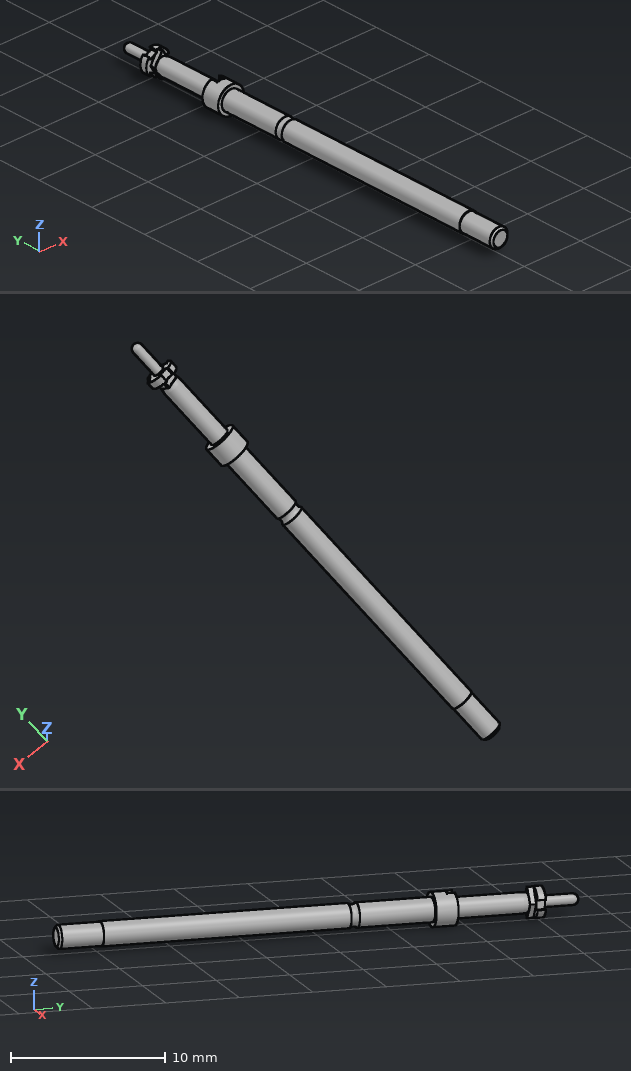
import cadquery as cq
import math

LENGTH = 35.5
FLANGE_START = 2.5
FLANGE_LENGTH = 0.57
DIAMOND_LENGTH = 0.43
SHOULDER_LENGTH = 0.4
COLLAR_START = 8.5
COLLAR_LENGTH = 1.5
GROOVE_START = 15.1
GROOVE_LENGTH = 0.57
GROOVE_DEPTH = 0.1
TAIL_LENGTH = 3.0
TAIL_CHAMFER = 0.18

PIN_DIA = 0.78
FLANGE_DIA = 2.1
SHOULDER_DIA = 1.28
TUBE_DIA = 1.42
COLLAR_DIA = 2.3
BODY_DIA = 1.67
TAIL_DIA = 1.6

NOTCH_COUNT = 3
NOTCH_FLOOR_RADIUS = 0.75
SLOT_WIDTH = 0.67
KEYWAY_LENGTH = 0.55

DIAMOND_WIDTH = 1.3
DIAMOND_TIP_ANGLE = 60.0

diamond_start = FLANGE_START + FLANGE_LENGTH
shoulder_start = diamond_start + DIAMOND_LENGTH
tube_start = shoulder_start + SHOULDER_LENGTH
collar_end = COLLAR_START + COLLAR_LENGTH
groove_end = GROOVE_START + GROOVE_LENGTH
tail_start = LENGTH - TAIL_LENGTH


def cross_plane(station):
    """Work plane across the probe, with its normal pointing towards the tail."""
    return cq.Workplane("XZ", origin=(0, LENGTH / 2 - station, 0))


def rod(start, end, diameter):
    return cross_plane(start).circle(diameter / 2).extrude(end - start)


def revolve_about_probe(profile):
    """Turn a profile of radius along X and position along Y about the probe axis."""
    return profile.close().revolve(360, (0, 0, 0), (0, 1, 0))


def radial_slot(start, length, floor_radius, reach):
    """Straight-sided cutter on the +Z side, from its floor out to a radial reach beyond the rim."""
    depth = reach - floor_radius
    middle = floor_radius + depth / 2
    return cross_plane(start).center(0, middle).rect(SLOT_WIDTH, depth).extrude(length)


def make_pin():
    """Slim pin with a hemispherical tip."""
    radius = PIN_DIA / 2
    dome = cq.Workplane("XY", origin=(0, LENGTH / 2 - radius, 0)).sphere(radius)
    return rod(radius, FLANGE_START, PIN_DIA).union(dome)


def make_flange():
    """Flange with evenly spaced notches, the first of them facing +X."""
    flange = rod(FLANGE_START, diamond_start, FLANGE_DIA)
    notch = radial_slot(FLANGE_START, FLANGE_LENGTH, NOTCH_FLOOR_RADIUS, FLANGE_DIA)
    for i in range(NOTCH_COUNT):
        angle = 90 + i * 360 / NOTCH_COUNT
        flange = flange.cut(notch.rotate((0, 0, 0), (0, 1, 0), angle))
    return flange


def make_diamond():
    """Diamond block, long diagonal upright, its tips trimmed to the flange diameter."""
    half_width = DIAMOND_WIDTH / 2
    half_height = half_width / math.tan(math.radians(DIAMOND_TIP_ANGLE / 2))
    corners = [(half_width, 0), (0, half_height), (-half_width, 0), (0, -half_height)]
    block = cross_plane(diamond_start).polyline(corners).close().extrude(DIAMOND_LENGTH)
    return block.intersect(rod(diamond_start, shoulder_start, FLANGE_DIA))


def make_shoulder():
    """Rounded end of the tube, its arc running smoothly into the tube surface."""
    start_y = LENGTH / 2 - shoulder_start
    end_y = LENGTH / 2 - tube_start
    rise = (TUBE_DIA - SHOULDER_DIA) / 2
    arc_radius = (SHOULDER_LENGTH**2 + rise**2) / (2 * rise)
    profile = (
        cq.Workplane("XY")
        .moveTo(0, end_y)
        .lineTo(TUBE_DIA / 2, end_y)
        .radiusArc((SHOULDER_DIA / 2, start_y), -arc_radius)
        .lineTo(0, start_y)
    )
    return revolve_about_probe(profile)


def make_collar():
    """Collar with a keyway on top, open towards the tip and cut down to the tube."""
    collar = rod(COLLAR_START, collar_end, COLLAR_DIA)
    keyway = radial_slot(COLLAR_START, KEYWAY_LENGTH, 0, COLLAR_DIA)
    return collar.cut(keyway).union(rod(tube_start, collar_end, TUBE_DIA))


def make_body():
    """Body with a shallow groove of circular section around it."""
    radius = BODY_DIA / 2
    start_y = LENGTH / 2 - GROOVE_START
    end_y = LENGTH / 2 - groove_end
    groove_profile = (
        cq.Workplane("XY")
        .moveTo(radius, start_y)
        .threePointArc((radius - GROOVE_DEPTH, (start_y + end_y) / 2), (radius, end_y))
        .lineTo(BODY_DIA, end_y)
        .lineTo(BODY_DIA, start_y)
    )
    return rod(collar_end, tail_start, BODY_DIA).cut(revolve_about_probe(groove_profile))


def make_tail():
    return rod(tail_start, LENGTH, TAIL_DIA).faces("<Y").chamfer(TAIL_CHAMFER)


result = (
    make_pin()
    .union(make_flange())
    .union(make_diamond())
    .union(make_shoulder())
    .union(make_collar())
    .union(make_body())
    .union(make_tail())
)